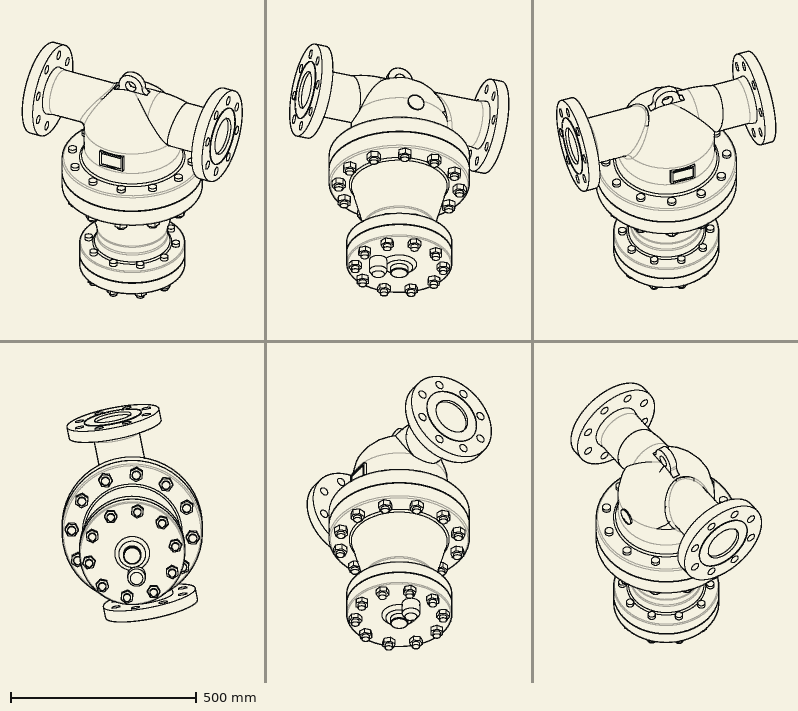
import cadquery as cq
import math


overall_length = 542.0
pipe_dia = 125.0
pipe_flange_dia = 254.0
pipe_flange_thickness = 31.5
raised_face_dia = 157.0
raised_face_height = 2.0
port_dia = 100.0
port_depth = 8.0
hub_dia = 132.0
hub_length = 19.5
pipe_hole_dia = 23.0
pipe_hole_circle_dia = 199.0
pipe_hole_count = 8
pipe_blend_radius = 16.0

dome_dia = 261.0
dome_base_z = -48.5
dome_height = 123.5
housing_foot_z = -112.0
housing_foot_dia = 274.0
foot_collar_dia = 285.0
foot_blend = 5.5

elbow_start_x = 73.0
elbow_bend_radius = 168.0

large_flange_dia = 380.0
large_flange_top_z = -147.0
large_flange_height = 96.0
large_rim_radius = 4.0

taper_top_dia = 259.5
taper_blend = 5.5
neck_dia = 190.0
neck_top_z = -376.0
neck_bottom_z = -400.5
neck_foot_dia = 204.0
neck_blend = 17.0
neck_foot_blend = 5.0

small_flange_dia = 285.0
small_flange_top_z = -426.0
small_flange_height = 74.0
small_rim_radius = 3.0

gasket_thickness = 2.0

large_bolt_count = 12
large_bolt_circle_dia = 328.0
large_bolt_dia = 22.0
large_bolt_head = 9.0
large_nut_across_flats = 32.0
large_nut_height = 16.0
large_bolt_tip = 8.0
small_bolt_count = 10
small_bolt_circle_dia = 238.0
small_bolt_dia = 20.0
small_bolt_head = 9.5
small_nut_across_flats = 30.0
small_nut_height = 13.5
small_bolt_tip = 10.0

plug_dia = 48.0
cap_dia = 94.0
cap_slope_dia = 72.5
cap_slope_height = 10.0
cap_height = 13.0
centre_plug_height = 29.0
centre_plug_chamfer = 2.0
drain_x = 60.5
bottom_z = pipe_flange_dia / 2 - 672
drain_tip_dia = 33.5
drain_tip_height = 11.5

lug_dia = 69.0
lug_hole_dia = 30.0
lug_thickness = 20.0
lug_z = 89.5
left_flare_drop = 8.0
lug_root_z = 54.0

plate_width = 69.0
plate_height = 45.0
plate_z = -79.0
plate_frame = 5.5
plate_recess = 1.5
pad_dia = 45.0
pad_z = -59.0
pad_stand_out = 3.0
pad_root_depth = 20.0

pipe_radius = pipe_dia / 2
crown_z = dome_base_z + dome_height
dome_radius = dome_dia / 2
large_flange_bottom_z = large_flange_top_z - large_flange_height
small_flange_bottom_z = small_flange_top_z - small_flange_height


def disc(diameter, top_z, height, x=0):
    """Upright cylinder hanging down from top_z."""
    return cq.Workplane("XY", origin=(x, 0, top_z)).circle(diameter / 2).extrude(-height)


def make_housing():
    """Solid of revolution: elliptical dome, cylinder and flared foot."""
    foot_radius = housing_foot_dia / 2
    collar_radius = foot_collar_dia / 2
    return (
        cq.Workplane("XZ")
        .moveTo(0, large_flange_top_z)
        .lineTo(collar_radius, large_flange_top_z)
        .lineTo(foot_radius, large_flange_top_z + foot_blend)
        .lineTo(dome_radius, housing_foot_z)
        .lineTo(dome_radius, dome_base_z)
        .ellipseArc(dome_radius, dome_height, 0, 90, sense=1, startAtCurrent=True)
        .close()
        .revolve(360, (0, 0, 0), (0, 1, 0))
    )


def make_tapered_body():
    """Solid of revolution between the two flange pairs."""
    taper_radius = taper_top_dia / 2
    neck_radius = neck_dia / 2
    foot_radius = neck_foot_dia / 2
    outline = [
        (0, large_flange_bottom_z),
        (taper_radius + taper_blend, large_flange_bottom_z),
        (taper_radius, large_flange_bottom_z - taper_blend),
        (neck_radius, neck_top_z),
        (neck_radius, neck_bottom_z),
        (foot_radius, small_flange_top_z + neck_foot_blend),
        (foot_radius + neck_foot_blend, small_flange_top_z),
        (0, small_flange_top_z),
    ]
    body = cq.Workplane("XZ").polyline(outline).close().revolve(360, (0, 0, 0), (0, 1, 0))
    neck_zone = cq.selectors.BoxSelector(
        (-neck_radius, -neck_radius, neck_bottom_z - neck_blend),
        (neck_radius, neck_radius, neck_top_z + neck_blend),
    )
    return body.edges("%CIRCLE").edges(neck_zone).fillet(neck_blend)


def make_flange_pair(diameter, top_z, height, rim_radius, gasket_dia):
    """Two equal discs with a thin gasket of smaller diameter between them."""
    disc_height = (height - gasket_thickness) / 2
    lower_top_z = top_z - disc_height - gasket_thickness
    upper = disc(diameter, top_z, disc_height).faces(">Z").edges().fillet(rim_radius)
    lower = disc(diameter, lower_top_z, disc_height).faces("<Z").edges().fillet(rim_radius)
    gasket = disc(gasket_dia, top_z - disc_height, gasket_thickness)
    return upper.union(gasket).union(lower)


def make_bolts(count, circle_dia, first_angle, top_z, bottom_z, bolt_dia, head, flats, nut_height, tip):
    """Ring of through bolts with hexagon nuts below, one nut corner pointing outward."""
    nut_corner_dia = flats / math.cos(math.pi / 6)
    length = top_z + head - bottom_z + nut_height + tip
    centre = (circle_dia / 2, 0, bottom_z)
    shank = cq.Workplane("XY", origin=(circle_dia / 2, 0, top_z + head)).circle(bolt_dia / 2).extrude(-length)
    nut = cq.Workplane("XY", origin=centre).polygon(6, nut_corner_dia).extrude(-nut_height)
    bolt = shank.union(nut)
    ring = cq.Workplane("XY")
    for index in range(count):
        angle = first_angle + index * 360 / count
        ring = ring.add(bolt.rotate((0, 0, 0), (0, 0, 1), angle))
    return ring.combine()


def make_half_pipe():
    """Pipe half along +X with hub, drilled flange, raised face and shallow blind port."""
    end_x = overall_length / 2
    flange_face_x = end_x - raised_face_height
    flange_back_x = flange_face_x - pipe_flange_thickness
    outline = [
        (0, 0),
        (0, pipe_radius),
        (flange_back_x - hub_length, pipe_radius),
        (flange_back_x, hub_dia / 2),
        (flange_back_x, pipe_flange_dia / 2),
        (flange_face_x, pipe_flange_dia / 2),
        (flange_face_x, raised_face_dia / 2),
        (end_x, raised_face_dia / 2),
        (end_x, port_dia / 2),
        (end_x - port_depth, port_dia / 2),
        (end_x - port_depth, 0),
    ]
    pipe = cq.Workplane("XZ").polyline(outline).close().revolve(360, (0, 0, 0), (1, 0, 0))
    holes = (
        cq.Workplane("YZ", origin=(flange_back_x, 0, 0))
        .polarArray(pipe_hole_circle_dia / 2, 180 / pipe_hole_count, 360, pipe_hole_count)
        .circle(pipe_hole_dia / 2)
        .extrude(pipe_flange_thickness)
    )
    return pipe.cut(holes)


def make_outlet():
    """Elbow from the body axis over a downward bend, mitred onto the +X half pipe."""
    axis_z = crown_z - pipe_radius
    turn = math.acos(1 - axis_z / elbow_bend_radius)
    mitre_x = elbow_start_x + elbow_bend_radius * math.sin(turn)
    stub = cq.Workplane("YZ", origin=(0, 0, axis_z)).circle(pipe_radius).extrude(elbow_start_x)
    bend = (
        cq.Workplane("YZ", origin=(elbow_start_x, 0, axis_z))
        .circle(pipe_radius)
        .revolve(2 * math.degrees(turn), (0, -elbow_bend_radius, 0), (1, -elbow_bend_radius, 0))
    )
    inner_side = (
        cq.Workplane("XY")
        .box(overall_length, overall_length, overall_length)
        .translate((-overall_length / 2, 0, 0))
        .rotate((0, 0, 0), (0, 1, 0), math.degrees(turn) / 2)
        .translate((mitre_x, 0, 0))
    )
    elbow = stub.union(bend).intersect(inner_side)
    return elbow.union(make_half_pipe().cut(inner_side))


def make_lug():
    """Round eye on a neck that flares outward onto the dome (-X) and the elbow crown (+X)."""
    eye_radius = lug_dia / 2
    flare_radius = lug_z - crown_z
    flare_x = eye_radius + flare_radius
    left_flare_z = lug_z - left_flare_drop
    bulge = flare_radius * math.sqrt(0.5)
    profile = (
        cq.Workplane("XZ", origin=(0, lug_thickness / 2, 0))
        .moveTo(-flare_x, lug_root_z)
        .lineTo(-flare_x, left_flare_z - flare_radius)
        .threePointArc((-flare_x + bulge, left_flare_z - bulge), (-eye_radius, left_flare_z))
        .lineTo(-eye_radius, lug_z)
        .threePointArc((0, lug_z + eye_radius), (eye_radius, lug_z))
        .threePointArc((flare_x - bulge, lug_z - bulge), (flare_x, crown_z))
        .lineTo(flare_x, lug_root_z)
        .close()
    )
    return profile.extrude(lug_thickness)


def make_lug_hole():
    """Cutter for the eye of the lug."""
    start = cq.Workplane("XZ", origin=(0, lug_thickness / 2, lug_z))
    return start.circle(lug_hole_dia / 2).extrude(lug_thickness)


def make_nameplate():
    """Flat plate standing on the -Y side, its face recessed inside a narrow frame."""
    face_y = -dome_radius - pad_stand_out
    face = cq.Workplane("XZ", origin=(0, face_y, plate_z))
    plate = face.rect(plate_width, plate_height).extrude(-pad_root_depth)
    window = face.rect(plate_width - 2 * plate_frame, plate_height - 2 * plate_frame)
    return plate.cut(window.extrude(-plate_recess))


def make_round_pad():
    """Round pad standing on the +Y side."""
    face = cq.Workplane("XZ", origin=(0, dome_radius + pad_stand_out, pad_z))
    return face.circle(pad_dia / 2).extrude(pad_root_depth)


def make_bottom_plugs():
    """Low bevelled cap with a short central plug, and a longer drain plug beside it."""
    top_z = small_flange_bottom_z
    cap_outline = [
        (0, top_z),
        (cap_dia / 2, top_z),
        (cap_slope_dia / 2, top_z - cap_slope_height),
        (plug_dia / 2, top_z - cap_height),
        (0, top_z - cap_height),
    ]
    cap = cq.Workplane("XZ").polyline(cap_outline).close().revolve(360, (0, 0, 0), (0, 1, 0))
    centre_plug = disc(plug_dia, top_z, centre_plug_height).faces("<Z").chamfer(centre_plug_chamfer)
    drain_inset = (plug_dia - drain_tip_dia) / 2
    drain_plug = disc(plug_dia, top_z, top_z - bottom_z, drain_x)
    drain_plug = drain_plug.faces("<Z").chamfer(drain_tip_height, drain_inset)
    return cap.union(centre_plug).union(drain_plug)


inlet_pipe = make_half_pipe().rotate((0, 0, 0), (0, 0, 1), 180)
blend_zone = cq.selectors.BoxSelector(
    (-dome_radius - 7, -pipe_radius, -pipe_radius), (-pipe_radius, pipe_radius, pipe_radius)
)
result = make_housing().union(inlet_pipe)
result = result.edges("%BSPLINE").edges(blend_zone).fillet(pipe_blend_radius)

result = result.union(make_outlet())
result = result.union(make_lug()).cut(make_lug_hole())
result = result.union(make_nameplate()).union(make_round_pad())

result = result.union(
    make_flange_pair(
        large_flange_dia, large_flange_top_z, large_flange_height, large_rim_radius, foot_collar_dia
    )
)
result = result.union(make_tapered_body())
result = result.union(
    make_flange_pair(
        small_flange_dia, small_flange_top_z, small_flange_height, small_rim_radius, neck_foot_dia
    )
)
result = result.union(make_bottom_plugs())

result = result.union(
    make_bolts(
        large_bolt_count,
        large_bolt_circle_dia,
        180 / large_bolt_count,
        large_flange_top_z,
        large_flange_bottom_z,
        large_bolt_dia,
        large_bolt_head,
        large_nut_across_flats,
        large_nut_height,
        large_bolt_tip,
    )
)
result = result.union(
    make_bolts(
        small_bolt_count,
        small_bolt_circle_dia,
        -90,
        small_flange_top_z,
        small_flange_bottom_z,
        small_bolt_dia,
        small_bolt_head,
        small_nut_across_flats,
        small_nut_height,
        small_bolt_tip,
    )
)